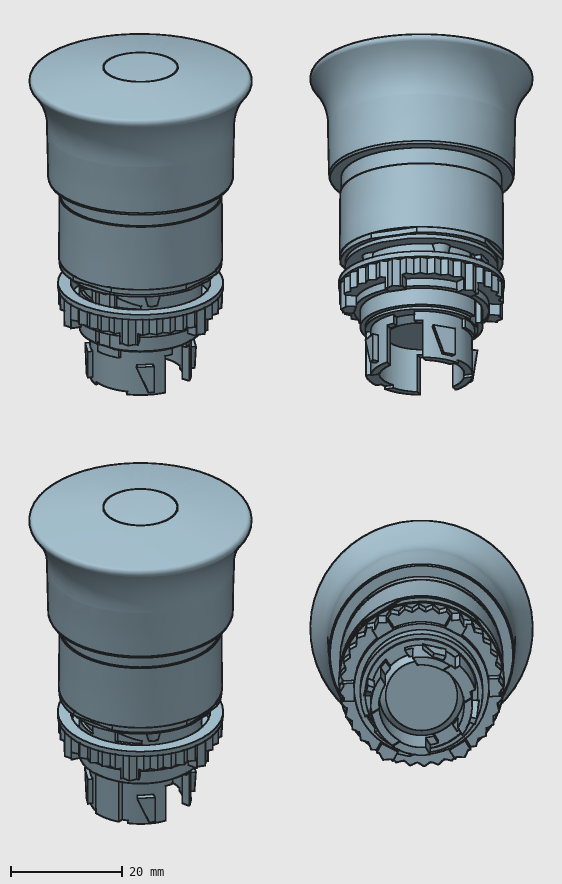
import cadquery as cq
import math

TOP_Z = 60.46
RIM_TOP_Z = 58.45
RIM_CREST_Z = 57.5
RIM_BOTTOM_Z = 57.0
FLARE_END_Z = 47.9
CAP_BOTTOM_Z = 38.4
BEZEL_TOP_Z = 35.4
SKIRT_TOP_Z = 23.0
GASKET_TOP_Z = 22.0
GASKET_BOTTOM_Z = 21.2
NUT_TOP_Z = 18.2
KNURL_TOP_Z = 17.2
KNURL_BOTTOM_Z = 14.1
NUT_RING_BOTTOM_Z = 12.6
LUG_BOTTOM_Z = 12.0
SLEEVE_BOTTOM_Z = 9.45
FLANGE_BOTTOM_Z = 8.9
STEM_BOTTOM_Z = 7.7
LEG_SHOULDER_Z = 7.15

RIM_RADIUS = 20.0
DOME_RADIUS = 19.2
FLARE_TOP_RADIUS = 19.85
FLARE_MID = (17.4, 52.6)
CAP_WAIST_RADIUS = 16.83
CAP_BOTTOM_RADIUS = 16.63
CAP_EDGE = 0.45
DISC_RADIUS = 6.6
DISC_GAP = 0.12
DISC_THICKNESS = 1.0

COLLAR_RADIUS = 14.42
BORE_RADIUS = 7.64
STEM_CHAMFER = FLANGE_BOTTOM_Z - STEM_BOTTOM_Z
BEZEL_TOP_RADIUS = 14.63
BEZEL_BOTTOM_RADIUS = 14.7
SKIRT_RADIUS = 14.6
BEZEL_TOP_EDGE = 0.15
SKIRT_FLAT = 13.93
GASKET_RADIUS = 13.72
GASKET_FLAT = 13.5
KEY_TAB_REACH = 12.15
KEY_TAB_BOTTOM_Z = 20.3

NUT_FLANGE_RADIUS = 14.85
RIDGE_RADIUS = 14.7
VALLEY_RADIUS = 13.95
RIDGE_COUNT = 36
NUT_RING_RADIUS = 12.1
NUT_CLEARANCE_RADIUS = 12.55
NUT_FLOOR_THICKNESS = 1.0
NUT_FLOOR_Z = KNURL_BOTTOM_Z + NUT_FLOOR_THICKNESS
LUG_COUNT = 6
LUG_WIDTH = 3.3

SLEEVE_RADIUS = 11.0
FLANGE_RADIUS = 10.14
LEG_RADIUS = 9.09
KEYWAY_WIDTH = 3.3
KEYWAY_FLOOR = 9.8
GUIDE_WIDTH = 5.2
RELIEF_RADIUS = 10.4
RELIEF_SLOT_X = 3.07
RELIEF_TIP_X = 6.9
RELIEF_BOTTOM_Z = 17.4
RELIEF_STEP_Z = 19.5
LEG_GAP = 6.8
SHOULDER_GAP = 4.0
TIP_NOTCH_WIDTH = 7.1
TIP_NOTCH_HEIGHT = 0.55
FRONT_TAB_WIDTH = 4.88
FRONT_TAB_RADIUS = 9.6
REAR_RIB_WIDTH = 5.2
REAR_RIB_RADIUS = 10.05
WIDE_HOOK = (9.8, -2.05, 0.0, 2.23)
NARROW_HOOK = (10.2, -1.9, 0.25, 1.35)
HOOK_TOP_Z = 5.98
HOOK_BOTTOM_Z = 0.95
BUMP_ANGLE = 50.0
BUMP_CENTER = 10.0
BUMP_TOP_RADIUS = 1.9
BUMP_TIP_RADIUS = 1.3


def cylinder(radius, bottom, top):
    return cq.Workplane("XY").workplane(offset=bottom).circle(radius).extrude(top - bottom)


def tapered(bottom_radius, top_radius, bottom, top):
    lower = cq.Workplane("XY").workplane(offset=bottom).circle(bottom_radius)
    return lower.workplane(offset=top - bottom).circle(top_radius).loft()


def ring(outer, inner, bottom, top):
    return cylinder(outer, bottom, top).cut(cylinder(inner, bottom, top))


def block(x0, x1, y0, y1, bottom, top):
    return cq.Workplane("XY").box(x1 - x0, y1 - y0, top - bottom, centered=False).translate((x0, y0, bottom))


def turned(shape, angle):
    return shape.rotate((0, 0, 0), (0, 0, 1), angle)


def dome_height(radius):
    """Height of the spherical cap top at a given distance from the axis."""
    rise = TOP_Z - RIM_TOP_Z
    sphere = (DOME_RADIUS**2 + rise**2) / (2 * rise)
    return TOP_Z - sphere + math.sqrt(sphere**2 - radius**2)


def make_cap_blank():
    profile = (
        cq.Workplane("XZ")
        .moveTo(0, CAP_BOTTOM_Z)
        .lineTo(CAP_BOTTOM_RADIUS - CAP_EDGE / 2, CAP_BOTTOM_Z)
        .lineTo(CAP_BOTTOM_RADIUS, CAP_BOTTOM_Z + CAP_EDGE)
        .lineTo(CAP_WAIST_RADIUS, FLARE_END_Z)
        .threePointArc(FLARE_MID, (FLARE_TOP_RADIUS, RIM_BOTTOM_Z))
        .threePointArc((RIM_RADIUS, RIM_CREST_Z), (DOME_RADIUS, RIM_TOP_Z))
        .threePointArc((DOME_RADIUS / 2, dome_height(DOME_RADIUS / 2)), (0, TOP_Z))
        .close()
    )
    return profile.revolve(360, (0, 0, 0), (0, 1, 0))


def make_disc(blank):
    return blank.intersect(cylinder(DISC_RADIUS, TOP_Z - DISC_THICKNESS, TOP_Z))


def make_cap(blank):
    return blank.cut(cylinder(DISC_RADIUS + DISC_GAP, TOP_Z - DISC_THICKNESS, TOP_Z))


def make_stem():
    shaft = cylinder(BORE_RADIUS, STEM_BOTTOM_Z, BEZEL_TOP_Z).faces("<Z").chamfer(STEM_CHAMFER)
    return cylinder(COLLAR_RADIUS, BEZEL_TOP_Z, CAP_BOTTOM_Z).union(shaft)


def make_bezel():
    shell = tapered(BEZEL_BOTTOM_RADIUS, BEZEL_TOP_RADIUS, SKIRT_TOP_Z, BEZEL_TOP_Z)
    shell = shell.faces(">Z").chamfer(BEZEL_TOP_EDGE)
    flats = block(-SKIRT_FLAT, SKIRT_FLAT, -SKIRT_FLAT, SKIRT_FLAT, GASKET_TOP_Z, SKIRT_TOP_Z)
    skirt = cylinder(SKIRT_RADIUS, GASKET_TOP_Z, SKIRT_TOP_Z).intersect(flats)
    return shell.union(skirt).cut(cylinder(BORE_RADIUS, GASKET_TOP_Z, BEZEL_TOP_Z))


def make_gasket():
    body = ring(GASKET_RADIUS, BORE_RADIUS, GASKET_BOTTOM_Z, GASKET_TOP_Z)
    flats = block(-GASKET_FLAT, GASKET_FLAT, -GASKET_RADIUS, GASKET_RADIUS, GASKET_BOTTOM_Z, GASKET_TOP_Z)
    half = KEYWAY_WIDTH / 2
    tab = block(-half, half, -KEY_TAB_REACH, -KEYWAY_FLOOR, KEY_TAB_BOTTOM_Z, GASKET_TOP_Z)
    return body.intersect(flats).union(tab)


def make_nut():
    """Knurled ring nut with a top flange, six gripping lugs and a wide opening on top."""
    outline = []
    for corner in range(2 * RIDGE_COUNT):
        radius = VALLEY_RADIUS if corner % 2 else RIDGE_RADIUS
        angle = math.pi * corner / RIDGE_COUNT
        outline.append((radius * math.cos(angle), radius * math.sin(angle)))
    height = KNURL_TOP_Z - LUG_BOTTOM_Z
    knurl = cq.Workplane("XY").workplane(offset=LUG_BOTTOM_Z).polyline(outline).close().extrude(height)
    kept = cylinder(NUT_FLANGE_RADIUS, KNURL_BOTTOM_Z, KNURL_TOP_Z)
    half = LUG_WIDTH / 2
    lug = block(NUT_RING_RADIUS, NUT_FLANGE_RADIUS, -half, half, LUG_BOTTOM_Z, KNURL_BOTTOM_Z)
    for index in range(LUG_COUNT):
        kept = kept.union(turned(lug, index * 360 / LUG_COUNT))
    nut = knurl.intersect(kept)
    nut = nut.union(cylinder(NUT_FLANGE_RADIUS, KNURL_TOP_Z, NUT_TOP_Z))
    nut = nut.union(cylinder(NUT_RING_RADIUS, NUT_RING_BOTTOM_Z, KNURL_BOTTOM_Z))
    nut = nut.cut(cylinder(SLEEVE_RADIUS, LUG_BOTTOM_Z, NUT_TOP_Z))
    return nut.cut(cylinder(NUT_CLEARANCE_RADIUS, NUT_FLOOR_Z, NUT_TOP_Z))


def make_hook(face, slant_top, slant_bottom, upright):
    """Latching hook on the +X side: flat face, radial sides and one slanted edge."""
    root = (BORE_RADIUS + LEG_RADIUS) / 2
    shrink = root / face

    def section(left):
        return [
            (face, left),
            (face, upright),
            (root, upright * shrink),
            (root, left * shrink),
        ]

    lower = cq.Workplane("XY").workplane(offset=HOOK_BOTTOM_Z).polyline(section(slant_bottom)).close()
    upper = lower.workplane(offset=HOOK_TOP_Z - HOOK_BOTTOM_Z).polyline(section(slant_top)).close()
    return upper.loft(ruled=True)


def make_relief():
    """Shallow recess on the -Y side, right of the guide, under a slanted upper edge."""
    guide = GUIDE_WIDTH / 2
    outline = [
        (guide, RELIEF_BOTTOM_Z),
        (guide, GASKET_BOTTOM_Z),
        (RELIEF_SLOT_X, GASKET_BOTTOM_Z),
        (RELIEF_SLOT_X, RELIEF_STEP_Z),
        (RELIEF_TIP_X, NUT_TOP_Z),
        (RELIEF_TIP_X, RELIEF_BOTTOM_Z),
    ]
    relief = cq.Workplane("XZ").polyline(outline).close().extrude(SLEEVE_RADIUS)
    return relief.cut(cylinder(RELIEF_RADIUS, RELIEF_BOTTOM_Z, GASKET_BOTTOM_Z))


def add_legs(sleeve):
    """Split tube below the flange, with its front tab, rear rib and four latching hooks."""
    sleeve = sleeve.union(cylinder(LEG_RADIUS, 0, FLANGE_BOTTOM_Z))
    half = FRONT_TAB_WIDTH / 2
    tab = cylinder(FRONT_TAB_RADIUS, LEG_SHOULDER_Z, FLANGE_BOTTOM_Z)
    sleeve = sleeve.union(tab.intersect(block(-half, half, -FRONT_TAB_RADIUS, 0, 0, FLANGE_BOTTOM_Z)))
    half = REAR_RIB_WIDTH / 2
    rib = cylinder(REAR_RIB_RADIUS, TIP_NOTCH_HEIGHT, FLANGE_BOTTOM_Z)
    sleeve = sleeve.union(rib.intersect(block(-half, half, 0, REAR_RIB_RADIUS, 0, FLANGE_BOTTOM_Z)))
    for side in (0, 180):
        sleeve = sleeve.union(turned(make_hook(*WIDE_HOOK), side + 45))
        sleeve = sleeve.union(turned(make_hook(*NARROW_HOOK), side + 135))
    return sleeve


def cut_legs(sleeve):
    """Gap between the two legs and the notch across their tips."""
    reach = SLEEVE_RADIUS
    half = LEG_GAP / 2
    sleeve = sleeve.cut(block(-reach, reach, -half, half, 0, LEG_SHOULDER_Z))
    half = SHOULDER_GAP / 2
    sleeve = sleeve.cut(block(-reach, reach, -half, half, LEG_SHOULDER_Z, FLANGE_BOTTOM_Z))
    half = TIP_NOTCH_WIDTH / 2
    return sleeve.cut(block(-half, half, -reach, reach, 0, TIP_NOTCH_HEIGHT))


def make_sleeve():
    sleeve = cylinder(SLEEVE_RADIUS, SLEEVE_BOTTOM_Z, GASKET_BOTTOM_Z)
    sleeve = sleeve.union(cylinder(FLANGE_RADIUS, FLANGE_BOTTOM_Z, SLEEVE_BOTTOM_Z))
    sleeve = add_legs(sleeve)

    half = KEYWAY_WIDTH / 2
    keyway = block(-half, half, -SLEEVE_RADIUS, -KEYWAY_FLOOR, FLANGE_BOTTOM_Z, GASKET_BOTTOM_Z)
    sleeve = sleeve.cut(keyway)

    right_relief = make_relief()
    left_relief = right_relief.mirror("YZ")
    for side in (0, 180):
        sleeve = sleeve.cut(turned(right_relief, side)).cut(turned(left_relief, side))

    bump = tapered(BUMP_TIP_RADIUS, BUMP_TOP_RADIUS, NUT_TOP_Z, GASKET_BOTTOM_Z)
    bump = bump.translate((0, BUMP_CENTER, 0))
    for angle in (BUMP_ANGLE, 180 - BUMP_ANGLE, 180 + BUMP_ANGLE, -BUMP_ANGLE):
        sleeve = sleeve.union(turned(bump, angle))

    sleeve = sleeve.cut(cylinder(BORE_RADIUS, 0, GASKET_BOTTOM_Z))
    return cut_legs(sleeve)


cap_blank = make_cap_blank()
cap = make_cap(cap_blank)
disc = make_disc(cap_blank)
stem = make_stem()
bezel = make_bezel()
gasket = make_gasket()
nut = make_nut()
sleeve = make_sleeve()
bodies = [cap, disc, stem, bezel, gasket, nut, sleeve]
result = cq.Compound.makeCompound([body.solids().val() for body in bodies])